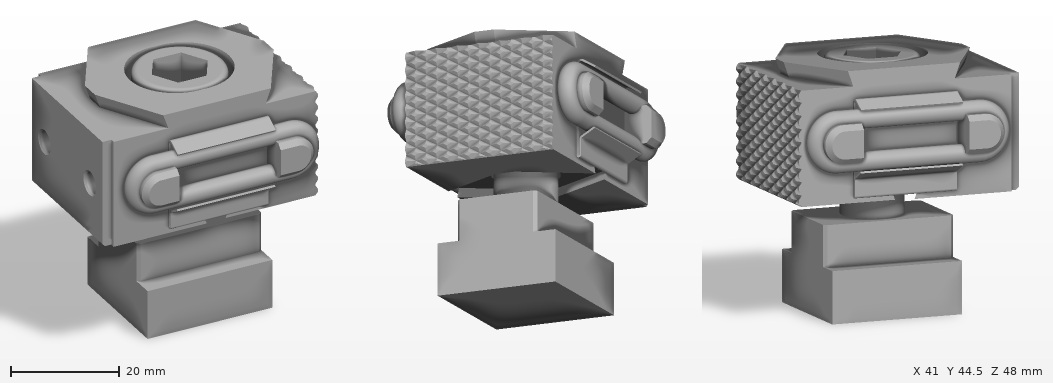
import cadquery as cq
import math


overall_height = 48.0
overall_width = 41.0
half_width = 14.9
slope = math.tan(math.radians(20))

wedge_side_y = 11.25
wedge_tip_y = 18.65
wedge_tip_half_width = 1.95
wedge_height = 23.05

jaw_top = 45.0
front_jaw_bottom = 23.0
back_jaw_bottom = 23.15
front_face_y = -23.4
back_face_y = 21.05
back_jaw_shift = 0.4
jaw_chamfer = 0.58
nose_depth = 1.85
nose_inset = 0.95

jaw_hole_x = 8.95
jaw_hole_z = 33.95
jaw_hole_diameter = 4.2
jaw_hole_mouth_diameter = 5.0
jaw_hole_depth = 7.2
drill_tip_angle = 120

groove_angle = 30
groove_pitch = 2.15
groove_width = 1.45
groove_depth = 0.58
groove_count = 8

lug_z = 35.2
lug_radius = 3.65
lug_arc_y = 14.45
lug_straight = 3.7
lug_chamfer = 1.0
ring_section_radius = 1.8
ring_outer_radius = 5.85
ring_arc_y = 14.25

clip_length = 20.45
clip_thickness = 0.4
clip_bottom = 24.1
clip_fold_radius = 0.3
clip_lower_bend_radius = 0.58
clip_upper_bend_radius = 0.75
clip_top_bend_z = 41.9
clip_lower_tip_x = 18.55
clip_lower_tip_z = 29.5
clip_upper_tip_x = 18.7
clip_flange_angle = 30

screw_y = 0.1
shank_diameter = 12.0
shank_end_z = 6.0
head_diameter = 18.0
head_height = 12.0
head_fillet = 1.15
socket_across_flats = 10.1
socket_depth = 6.0

pocket_radius = 9.4
pocket_tilt = 2.0
pocket_pivot_z = 22.05
wedge_bore_diameter = 13.0

nut_length = 26.0
nut_base_width = 23.9
nut_base_height = 10.05
nut_neck_width = 16.15
nut_height = 17.95
nut_chamfer = 0.6

head_bottom = overall_height - head_height
lug_end_x = overall_width / 2
ring_x = half_width + ring_section_radius
ring_path_radius = ring_outer_radius - ring_section_radius


def hexagon(z, side_y, tip_y):
    """Hexagonal section with flat tips, as a wire at height z."""
    right_half = [
        (wedge_tip_half_width, -tip_y),
        (half_width, -side_y),
        (half_width, side_y),
        (wedge_tip_half_width, tip_y),
    ]
    left_half = [(-x, y) for x, y in reversed(right_half)]
    corners = [cq.Vector(x, y, z) for x, y in right_half + left_half]
    return cq.Wire.makePolygon(corners, close=True)


def wedge_prism(bottom):
    """Hexagonal prism whose faces lean inward from the top of the clamp down to `bottom`."""
    lean = (overall_height - bottom) * slope
    top_wire = hexagon(overall_height, wedge_side_y, wedge_tip_y)
    bottom_wire = hexagon(bottom, wedge_side_y - lean, wedge_tip_y - lean)
    return cq.Workplane(cq.Solid.makeLoft([bottom_wire, top_wire], True))


def ring_blank(side):
    """Round rubber ring in its unflattened shape, on the side of the sign `side`."""
    path = (
        cq.Workplane("YZ", origin=(side * ring_x, 0, lug_z))
        .moveTo(-ring_arc_y, -ring_path_radius)
        .lineTo(ring_arc_y, -ring_path_radius)
        .threePointArc((ring_arc_y + ring_path_radius, 0), (ring_arc_y, ring_path_radius))
        .lineTo(-ring_arc_y, ring_path_radius)
        .threePointArc((-ring_arc_y - ring_path_radius, 0), (-ring_arc_y, -ring_path_radius))
        .close()
    )
    section = cq.Workplane("XZ", origin=(side * ring_x, -ring_arc_y, lug_z - ring_path_radius))
    return section.circle(ring_section_radius).sweep(path)


def jaw_lug(side):
    """Half-round lug on the front jaw, chamfered along its rounded outer rim."""
    inner_y = lug_straight - lug_arc_y
    lug = (
        cq.Workplane("YZ", origin=(side * half_width, 0, lug_z))
        .moveTo(inner_y, lug_radius)
        .lineTo(-lug_arc_y, lug_radius)
        .threePointArc((-lug_arc_y - lug_radius, 0), (-lug_arc_y, -lug_radius))
        .lineTo(inner_y, -lug_radius)
        .close()
        .extrude(side * (lug_end_x - half_width))
    )
    outer_face = ">X" if side > 0 else "<X"
    return lug.faces(outer_face).edges("not >Y").chamfer(lug_chamfer)


def jaw_blank(outer_y, bottom):
    """Jaw block reaching from -Y to the wedge axis, with its lugs and its wedge-shaped cavity."""
    size = (2 * half_width, outer_y, jaw_top - bottom)
    jaw = cq.Workplane("XY", origin=(-half_width, -outer_y, bottom)).box(*size, centered=False)
    jaw = jaw.cut(wedge_prism(bottom))
    for side in (-1, 1):
        jaw = jaw.union(jaw_lug(side))
    return jaw


def cut_ring_grooves(jaw):
    for side in (-1, 1):
        jaw = jaw.cut(ring_blank(side))
    return jaw


def tapped_hole(x):
    """Drilled hole with a chamfered mouth and a conical end, pointing in from the front face."""
    radius = jaw_hole_diameter / 2
    mouth_radius = jaw_hole_mouth_diameter / 2
    tip_length = radius / math.tan(math.radians(drill_tip_angle / 2))
    return (
        cq.Workplane("XY", origin=(x, front_face_y, jaw_hole_z))
        .polyline([
            (0, 0),
            (mouth_radius, 0),
            (radius, mouth_radius - radius),
            (radius, jaw_hole_depth),
            (0, jaw_hole_depth + tip_length),
        ])
        .close()
        .revolve(360, (0, 0, 0), (0, 1, 0))
    )


def make_front_jaw():
    jaw = jaw_blank(-front_face_y, front_jaw_bottom)
    for side in (-1, 1):
        notch = cq.Workplane("XY").box(2 * nose_inset, 2 * nose_depth, 3 * overall_height)
        jaw = jaw.cut(notch.translate((side * half_width, front_face_y, 0)))
        jaw = jaw.cut(tapped_hole(side * jaw_hole_x))
    jaw = jaw.faces("<Y").edges("<Z").chamfer(jaw_chamfer)
    return cut_ring_grooves(jaw)


def grip_groove(offset, angle):
    """V groove across the back face, `offset` from the face centre and turned by `angle`."""
    length = 4 * half_width
    bar = (
        cq.Workplane("YZ", origin=(-length / 2, 0, 0))
        .polyline([
            (0, -groove_width / 2),
            (-groove_depth, 0),
            (0, groove_width / 2),
        ])
        .close()
        .extrude(length)
    )
    turned = bar.translate((0, 0, offset)).rotate((0, 0, 0), (0, 1, 0), angle)
    return turned.translate((0, back_face_y, (jaw_top + back_jaw_bottom) / 2))


def make_back_jaw():
    jaw = jaw_blank(back_face_y + back_jaw_shift, back_jaw_bottom)
    jaw = jaw.mirror("XZ").translate((0, -back_jaw_shift, 0))
    jaw = jaw.faces(">Y").edges("<Z").chamfer(jaw_chamfer)
    for angle in (-groove_angle, groove_angle):
        for index in range(-groove_count, groove_count + 1):
            jaw = jaw.cut(grip_groove(index * groove_pitch, angle))
    return cut_ring_grooves(jaw)


def make_wedge(jaw):
    """Wedge with its rocking screw pocket, trimmed to seat against the given jaw."""
    wedge = wedge_prism(overall_height - wedge_height)
    below_floor = cq.Workplane("XY").box(
        4 * half_width, 4 * half_width, head_bottom, centered=(True, True, False)
    )
    for tilt in (-pocket_tilt, pocket_tilt):
        pocket = (
            cq.Workplane("XY", origin=(0, 0, pocket_pivot_z))
            .circle(pocket_radius)
            .extrude(overall_height)
            .rotate((0, 0, pocket_pivot_z), (1, 0, pocket_pivot_z), tilt)
        )
        wedge = wedge.cut(pocket.cut(below_floor))
    bore = cq.Workplane("XY").circle(wedge_bore_diameter / 2).extrude(overall_height)
    return wedge.cut(bore).cut(jaw)


def socket_hole():
    """Hexagonal socket with a conical bottom that starts at its corners."""
    corner_radius = socket_across_flats / 2 / math.cos(math.radians(30))
    tip_length = corner_radius / math.tan(math.radians(drill_tip_angle / 2))
    hexagonal_bar = (
        cq.Workplane("XY", origin=(0, 0, overall_height))
        .transformed(rotate=(0, 0, 90))
        .polygon(6, 2 * corner_radius)
        .extrude(-socket_depth - tip_length)
    )
    pointed_bar = (
        cq.Workplane("XZ", origin=(0, 0, overall_height))
        .polyline([
            (0, 0),
            (socket_across_flats, 0),
            (socket_across_flats, -socket_depth),
            (corner_radius, -socket_depth),
            (0, -socket_depth - tip_length),
        ])
        .close()
        .revolve(360, (0, 0, 0), (0, 1, 0))
    )
    return hexagonal_bar.intersect(pointed_bar)


def make_screw():
    shank = (
        cq.Workplane("XY", origin=(0, 0, shank_end_z))
        .circle(shank_diameter / 2)
        .extrude(head_bottom - shank_end_z)
    )
    head = (
        cq.Workplane("XY", origin=(0, 0, head_bottom))
        .circle(head_diameter / 2)
        .extrude(head_height)
        .faces(">Z").edges().fillet(head_fillet)
    )
    return shank.union(head).cut(socket_hole()).translate((0, screw_y, 0))


def make_nut(screw):
    """T-nut with a blind hole that fits the end of the given screw."""
    base = cq.Workplane("XY", origin=(0, screw_y, 0)).box(
        nut_base_width, nut_length, nut_base_height, centered=(True, True, False)
    )
    neck = (
        cq.Workplane("XY", origin=(0, screw_y, nut_base_height))
        .box(nut_neck_width, nut_length, nut_height - nut_base_height, centered=(True, True, False))
        .edges("|Z").chamfer(nut_chamfer)
    )
    return base.union(neck).cut(screw)


def arc_point(centre, radius, angle):
    """Point of a circle at an angle in degrees from the first axis."""
    return (
        centre[0] + radius * math.cos(math.radians(angle)),
        centre[1] + radius * math.sin(math.radians(angle)),
    )


def make_right_clip():
    """Sheet clip: a plate on the jaws, flanged at the top and folded up into a second flange below."""
    drop = math.tan(math.radians(clip_flange_angle))
    plate_x = half_width + clip_thickness / 2
    leaf_x = plate_x + 2 * clip_fold_radius
    fold_z = clip_bottom + clip_thickness / 2 + clip_fold_radius
    fold_bottom = (plate_x + clip_fold_radius, fold_z - clip_fold_radius)

    lower_start_angle = 90 + clip_flange_angle
    lower_reach = arc_point((leaf_x + clip_lower_bend_radius, 0), clip_lower_bend_radius, lower_start_angle)
    lower_start_z = clip_lower_tip_z - (clip_lower_tip_x - lower_reach[0]) * drop
    lower_centre = (leaf_x + clip_lower_bend_radius, lower_start_z - lower_reach[1])
    lower_start = arc_point(lower_centre, clip_lower_bend_radius, lower_start_angle)
    lower_middle = arc_point(lower_centre, clip_lower_bend_radius, (lower_start_angle + 180) / 2)

    upper_end_angle = 90 - clip_flange_angle
    upper_centre = (plate_x + clip_upper_bend_radius, clip_top_bend_z)
    upper_middle = arc_point(upper_centre, clip_upper_bend_radius, (180 + upper_end_angle) / 2)
    upper_end = arc_point(upper_centre, clip_upper_bend_radius, upper_end_angle)
    upper_tip_z = upper_end[1] - (clip_upper_tip_x - upper_end[0]) * drop

    path = (
        cq.Workplane("XZ")
        .moveTo(clip_lower_tip_x, clip_lower_tip_z)
        .lineTo(*lower_start)
        .threePointArc(lower_middle, (leaf_x, lower_centre[1]))
        .lineTo(leaf_x, fold_z)
        .threePointArc(fold_bottom, (plate_x, fold_z))
        .lineTo(plate_x, clip_top_bend_z)
        .threePointArc(upper_middle, upper_end)
        .lineTo(clip_upper_tip_x, upper_tip_z)
    )
    start = cq.Plane(
        origin=(clip_lower_tip_x, 0, clip_lower_tip_z),
        xDir=(0, 1, 0),
        normal=(-1, 0, -drop),
    )
    return cq.Workplane(start).rect(clip_length, clip_thickness).sweep(path)


front_jaw = make_front_jaw()
back_jaw = make_back_jaw()
wedge = make_wedge(back_jaw)
screw = make_screw()
nut = make_nut(screw)
right_clip = make_right_clip()
clips = {1: right_clip, -1: right_clip.mirror("YZ")}

bodies = [front_jaw, back_jaw, wedge, screw, nut]
for side, clip in clips.items():
    bodies.append(clip)
    bodies.append(ring_blank(side).cut(clip))

result = cq.Compound.makeCompound([body.val() for body in bodies])